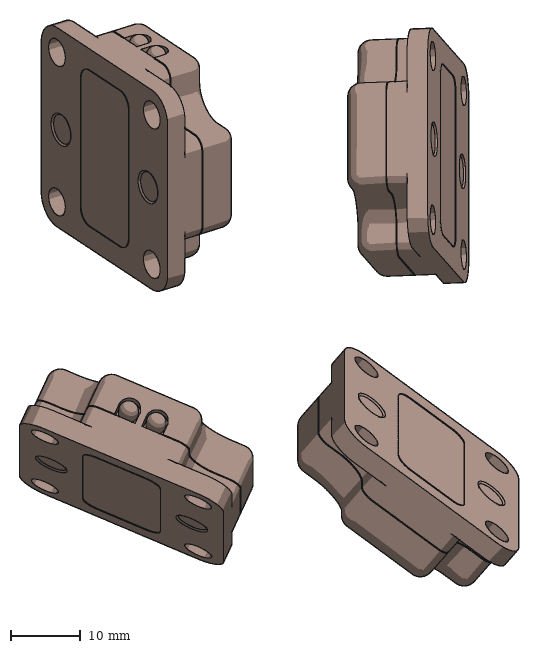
import cadquery as cq

side = 32.0
half_side = side / 2
flange_thickness = 3.0
flange_corner_radius = 4.0

total_depth = 12.0
housing_edge_radius = 2.0
notch_radius = 4.0
hole_inset = 4.0
hole_offset = half_side - hole_inset
arm_width = 2 * (hole_offset - notch_radius)

seam_start = total_depth / 2
seam_width = 0.1
seam_depth = 0.1

screw_hole_diameter = 4.2
dimple_offset = 11.0
dimple_diameter = 4.95
dimple_floor_diameter = 4.45
dimple_depth = (dimple_diameter - dimple_floor_diameter) / 2
panel_width = 12.15
panel_height = 25.05
panel_corner_radius = 2.2
panel_depth = 0.13

window_spacing = 4.3
window_width = 3.25
window_height = 3.25
window_depth = 2.0
lamp_radius = 1.45
lamp_rise = 0.62
lamp_shift = -0.1
lamp_center_y = seam_start + 1.55


def front_plane(y):
    """XZ sketch plane at depth y; positive extrusions run toward +Y."""
    return cq.Plane(origin=(0, y, 0), xDir=(1, 0, 0), normal=(0, 1, 0))


def bar(width, height, length, y, corner_radius):
    """Rectangular block starting at depth y, with its four edges along Y rounded."""
    block = cq.Workplane(front_plane(y)).rect(width, height).extrude(length)
    return block.edges("|Y").fillet(corner_radius)


def cross_block(y, length, inset=0):
    """Cross of two rounded bars with hollow inner corners, shrunk all round by inset."""
    long_size = side - 2 * inset
    short_size = arm_width - 2 * inset
    convex_radius = housing_edge_radius - inset
    cross = bar(short_size, long_size, length, y, convex_radius)
    cross = cross.union(bar(long_size, short_size, length, y, convex_radius))
    for x_sign in (-1, 1):
        for z_sign in (-1, 1):
            inner_corner = (x_sign * short_size / 2, y + length / 2, z_sign * short_size / 2)
            corner_edge = cq.NearestToPointSelector(inner_corner)
            cross = cross.edges("|Y").edges(corner_edge).fillet(notch_radius + inset)
    return cross


def make_flange():
    return bar(side, side, flange_thickness, 0, flange_corner_radius)


def make_housing():
    housing_length = total_depth - flange_thickness
    housing = cross_block(flange_thickness, housing_length)
    return housing.faces(">Y").edges().fillet(housing_edge_radius)


def seam_groove():
    """Thin ring around the housing, interrupted at the post between the lamp windows."""
    full_slice = cross_block(seam_start, seam_width)
    ring = full_slice.cut(cross_block(seam_start, seam_width, seam_depth))
    post_plane = cq.Workplane("XY", origin=(0, seam_start, half_side))
    post = post_plane.box(window_spacing - window_width, seam_width, 2 * seam_depth,
                          centered=(True, False, True))
    return ring.cut(post)


def screw_holes():
    holes = cq.Workplane(front_plane(0)).rect(2 * hole_offset, 2 * hole_offset, forConstruction=True)
    return holes.vertices().circle(screw_hole_diameter / 2).extrude(flange_thickness)


def dimple(x):
    """Shallow cone-sided recess with a flat floor."""
    cone = cq.Solid.makeCone(
        dimple_diameter / 2,
        dimple_floor_diameter / 2,
        dimple_depth,
        cq.Vector(x, 0, 0),
        cq.Vector(0, 1, 0),
    )
    return cq.Workplane(cone)


def panel_recess():
    return bar(panel_width, panel_height, panel_depth, 0, panel_corner_radius)


def lamp_window(x):
    """Arched window cut down into the top wall, its flat sill on the seam."""
    arch_radius = window_width / 2
    spring_line = seam_start + window_height - arch_radius
    outline = (
        cq.Workplane("XY", origin=(0, 0, half_side))
        .moveTo(x - arch_radius, seam_start)
        .lineTo(x + arch_radius, seam_start)
        .lineTo(x + arch_radius, spring_line)
        .threePointArc((x, spring_line + arch_radius), (x - arch_radius, spring_line))
        .close()
    )
    return outline.extrude(-window_depth)


def lamp(x):
    """Round lamp with a domed tip, standing on the window floor."""
    floor_z = half_side - window_depth
    dome_z = half_side + lamp_rise - lamp_radius
    stem = cq.Workplane("XY", origin=(x, lamp_center_y, floor_z)).circle(lamp_radius)
    stem = stem.extrude(dome_z - floor_z)
    dome = cq.Workplane("XY", origin=(x, lamp_center_y, dome_z)).sphere(lamp_radius)
    return stem.union(dome)


result = make_flange().union(make_housing())
result = result.cut(seam_groove()).cut(screw_holes()).cut(panel_recess())
for x_sign in (-1, 1):
    result = result.cut(dimple(x_sign * dimple_offset))
    window_x = x_sign * window_spacing / 2
    result = result.cut(lamp_window(window_x))
    result = result.union(lamp(window_x + lamp_shift))